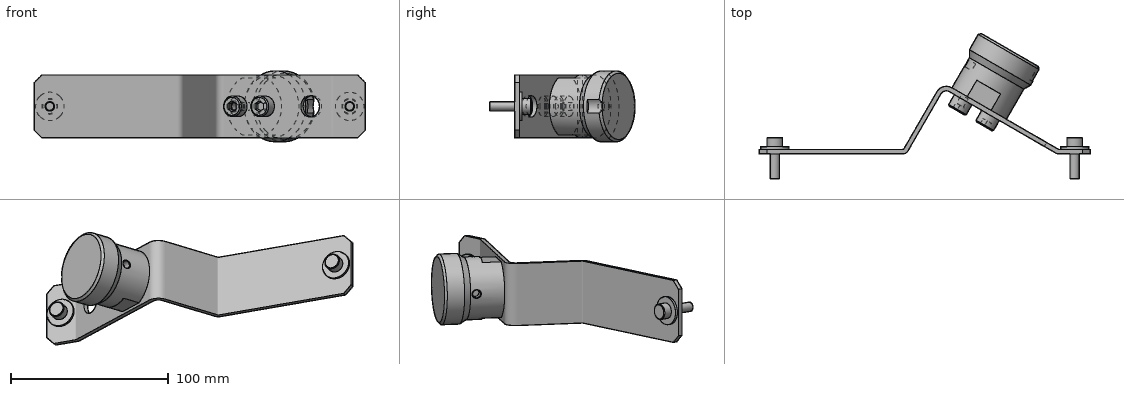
import math

import cadquery as cq


length = 210.0
width = 40.0
thickness = 3.0
tab_bend_start = 91.0
outer_bend_radius = 4.0
crest_inner_radius = 4.0
end_chamfer = 5.0
ramp_angle = math.radians(60)
seat_angle = math.radians(30)
right_tab_bend_end = 190.0
strip_hole_dia = 13.5
hole_offset_from_housing = 42.6

housing_distance = 24.0
body_dia = 40.0
rim_dia = 45.0
housing_height = 39.1
cone_start = 22.0
cone_height = 4.4
rim_chamfer = 1.5
flat_span = 36.0
flat_height = 12.0
bore_dia = 5.0
bore_mouth_dia = 6.0
bore_depth = 5.5
countersink_slope = 45
bore_height = 18.1
groove_width = 8.5
groove_radius = 6.75
groove_start = 29.0

screw_spacing = 20.0
seat_head_dia = 13.0
seat_head_height = 8.0
seat_head_chamfer = 0.8
seat_socket = 6.0
seat_socket_depth = 4.0
socket_bore_dia = 5.0
socket_bore_depth = 6.0

tab_screw_inset = 10.0
tab_head_dia = 10.0
tab_head_height = 6.0
tab_head_chamfer = 0.5
washer_dia = 18.0
washer_thickness = 1.6
shank_dia = 6.0
shank_length = 20.6
shank_chamfer = 0.5

left_corner_x = tab_bend_start + outer_bend_radius * math.tan(ramp_angle / 2)
right_corner_x = right_tab_bend_end - outer_bend_radius * math.tan(seat_angle / 2)
ramp_length = (right_corner_x - left_corner_x) * math.cos(ramp_angle)
crest = (
    left_corner_x + ramp_length * math.cos(ramp_angle),
    ramp_length * math.sin(ramp_angle),
)

along = (math.cos(seat_angle), -math.sin(seat_angle))
normal = (math.sin(seat_angle), math.cos(seat_angle))


def seat_point(distance, height):
    """Point at a distance from the crest along the seat leg and a height above its front face."""
    x = crest[0] + distance * along[0] + height * normal[0]
    y = crest[1] + distance * along[1] + height * normal[1]
    return (x, y, 0)


def seat_plane(distance, height):
    """Plane facing away from the back of the seat leg, its local X running along the leg."""
    return cq.Plane(seat_point(distance, height), (along[0], along[1], 0), (normal[0], normal[1], 0))


def make_strip():
    """Sheet strip with rounded bends, chamfered ends and the open hole in the seat leg."""
    back_left_x = left_corner_x - thickness * math.tan(ramp_angle / 2)
    back_right_x = right_corner_x + thickness * math.tan(seat_angle / 2)
    back_crest = (
        crest[0] + thickness * (normal[0] - along[0]),
        crest[1] + thickness * (normal[1] - along[1]),
    )
    strip = (
        cq.Workplane("XY")
        .polyline([
            (0, 0), (left_corner_x, 0), crest, (right_corner_x, 0), (length, 0),
            (length, thickness), (back_right_x, thickness), back_crest,
            (back_left_x, thickness), (0, thickness),
        ])
        .close()
        .extrude(width / 2, both=True)
    )

    def round_corner(solid, x, y, radius):
        return solid.edges(cq.NearestToPointSelector((x, y, 0))).fillet(radius)

    inner_bend_radius = outer_bend_radius - thickness
    strip = round_corner(strip, left_corner_x, 0, outer_bend_radius)
    strip = round_corner(strip, right_corner_x, 0, outer_bend_radius)
    strip = round_corner(strip, back_left_x, thickness, inner_bend_radius)
    strip = round_corner(strip, back_right_x, thickness, inner_bend_radius)
    strip = round_corner(strip, crest[0], crest[1], crest_inner_radius)
    strip = round_corner(strip, back_crest[0], back_crest[1], crest_inner_radius + thickness)
    strip = strip.faces("<X or >X").edges("|Y").chamfer(end_chamfer)

    hole = (
        cq.Workplane(seat_plane(housing_distance + hole_offset_from_housing, 0))
        .circle(strip_hole_dia / 2)
        .extrude(thickness)
    )
    return strip.cut(hole)


def make_housing():
    """Round housing: body, cone, wider rim, two flats, a side bore and a groove in the rim."""
    body_radius = body_dia / 2
    rim_radius = rim_dia / 2
    base = seat_plane(housing_distance, thickness)
    profile = cq.Plane(base.origin, base.xDir, -base.yDir)
    housing = (
        cq.Workplane(profile)
        .polyline([
            (0, 0), (body_radius, 0), (body_radius, cone_start),
            (rim_radius, cone_start + cone_height), (rim_radius, housing_height - rim_chamfer),
            (rim_radius - rim_chamfer, housing_height), (0, housing_height),
        ])
        .close()
        .revolve(axisStart=(0, 0, 0), axisEnd=(0, 1, 0))
    )

    slab_depth = rim_dia
    for side in (-1, 1):
        flat = (
            cq.Workplane(base)
            .center(0, side * (flat_span + slab_depth) / 2)
            .rect(rim_dia, slab_depth)
            .extrude(flat_height)
        )
        housing = housing.cut(flat)

    mouth = cq.Plane(base.toWorldCoords((-body_radius, 0, bore_height)), base.zDir, base.xDir)
    mouth_depth = (bore_mouth_dia - bore_dia) / 2
    bore = cq.Workplane(mouth).circle(bore_dia / 2).extrude(bore_depth)
    countersink = cq.Workplane(mouth).circle(bore_mouth_dia / 2).extrude(mouth_depth, taper=countersink_slope)
    housing = housing.cut(bore).cut(countersink)

    groove_offset = (
        math.sqrt(rim_radius ** 2 - (groove_width / 2) ** 2)
        + math.sqrt(groove_radius ** 2 - (groove_width / 2) ** 2)
    )
    groove = (
        cq.Workplane(base)
        .workplane(offset=groove_start)
        .center(groove_offset, 0)
        .circle(groove_radius)
        .extrude(housing_height)
    )
    return housing.cut(groove)


def head_plane(offset):
    """Plane on the front of the seat leg, facing forward, at an offset from the housing axis."""
    origin = seat_point(housing_distance + offset, 0)
    return cq.Plane(origin, (along[0], along[1], 0), (-normal[0], -normal[1], 0))


def make_seat_screw_head(offset):
    """Chamfered screw head with a hexagon socket that has two flats square to the leg."""
    plane = head_plane(offset)
    hex_diameter = seat_socket / math.cos(math.pi / 6)
    socket = (
        cq.Workplane(plane)
        .workplane(offset=seat_head_height - seat_socket_depth)
        .transformed(rotate=(0, 0, 90))
        .polygon(6, hex_diameter)
        .extrude(seat_socket_depth)
    )
    return (
        cq.Workplane(plane)
        .circle(seat_head_dia / 2)
        .extrude(seat_head_height)
        .faces(cq.DirectionMinMaxSelector(plane.zDir, True))
        .chamfer(seat_head_chamfer)
        .cut(socket)
    )


def make_socket_bore(offset):
    """Round blind bore going deeper from the floor of a hexagon socket."""
    return (
        cq.Workplane(head_plane(offset))
        .workplane(offset=seat_head_height - seat_socket_depth)
        .circle(socket_bore_dia / 2)
        .extrude(-socket_bore_depth)
    )


def make_tab_screw(x):
    """Washer, screw head behind the tab and shank passing through to the front."""
    plane = cq.Plane((x, thickness, 0), (1, 0, 0), (0, 1, 0))
    washer = cq.Workplane(plane).circle(washer_dia / 2).extrude(washer_thickness)
    head = (
        cq.Workplane(plane)
        .workplane(offset=washer_thickness)
        .circle(tab_head_dia / 2)
        .extrude(tab_head_height)
        .faces(">Y")
        .chamfer(tab_head_chamfer)
    )
    shank = (
        cq.Workplane(plane)
        .workplane(offset=washer_thickness)
        .circle(shank_dia / 2)
        .extrude(-shank_length)
        .faces("<Y")
        .chamfer(shank_chamfer)
    )
    return washer.union(head).union(shank)


result = make_strip().union(make_housing())
for screw_offset in (-screw_spacing / 2, screw_spacing / 2):
    result = result.union(make_seat_screw_head(screw_offset))
result = result.cut(make_socket_bore(-screw_spacing / 2))
for screw_x in (tab_screw_inset, length - tab_screw_inset):
    result = result.union(make_tab_screw(screw_x))